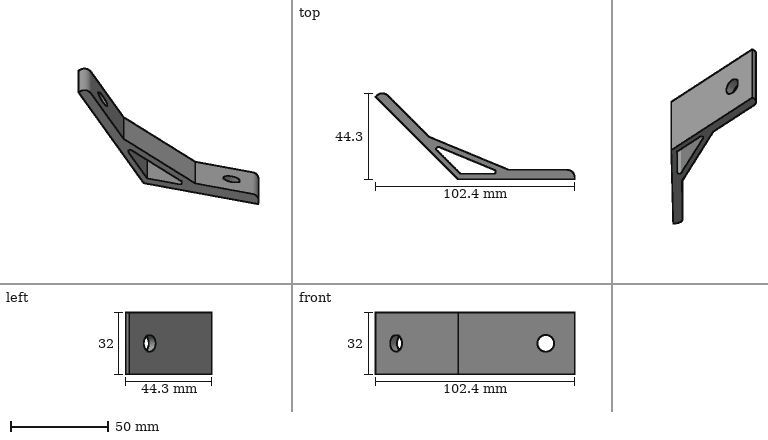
import cadquery as cq
import math

overall_length = 102.4
height = 32.0
bend_angle = 45.0
leg_thickness = 5.0
leg_tip_radius = 4.0
brace_reach = 26.0
wall = 3.0
pocket_reach = 19.2
pocket_end_radius = 0.5
hole_diameter = 8.5
hole_reach = 45.1

bend = math.radians(bend_angle)
leg_length = overall_length / (1 + math.cos(bend))
brace_slope = math.tan(bend / 2)


def straight_leg():
    """Leg along +X with its outer face on Y = 0 and a hole through it."""
    miter_x = leg_thickness * brace_slope
    outline = [(0, 0), (leg_length, 0), (leg_length, leg_thickness), (miter_x, leg_thickness)]
    leg = cq.Workplane("XY").polyline(outline).close().extrude(height)
    leg = leg.edges("|Z and >X and >Y").fillet(leg_tip_radius)
    hole = (
        cq.Workplane("XZ")
        .center(hole_reach, height / 2)
        .circle(hole_diameter / 2)
        .extrude(-leg_thickness)
    )
    return leg.cut(hole)


def on_other_leg(x, y):
    """Mirror a point of the straight leg onto the bent leg."""
    mirror_angle = math.pi - bend
    return (
        x * math.cos(mirror_angle) + y * math.sin(mirror_angle),
        x * math.sin(mirror_angle) - y * math.cos(mirror_angle),
    )


def symmetric_prism(leg_points):
    """Prism whose outline follows leg_points and returns along their mirror images.

    The first point lies on the bend plane, so its mirror image is left out.
    """
    mirrored_points = [on_other_leg(x, y) for x, y in reversed(leg_points[1:])]
    return cq.Workplane("XY").polyline(leg_points + mirrored_points).close().extrude(height)


def brace_block():
    """Solid web filling the inside of the bend."""
    bend_corner = (leg_thickness * brace_slope, leg_thickness)
    return symmetric_prism([bend_corner, (brace_reach, leg_thickness)])


def pocket():
    """Opening one wall inside the legs and the brace face, with square ends."""
    brace_wall_drop = wall / math.cos(bend / 2)
    end_top = leg_thickness - brace_wall_drop + (brace_reach - pocket_reach) * brace_slope
    bend_corner = (wall * brace_slope, wall)
    prism = symmetric_prism([bend_corner, (pocket_reach, wall), (pocket_reach, end_top)])

    end_faces = cq.selectors.ParallelDirSelector(cq.Vector(1, 0))
    other_end_faces = cq.selectors.ParallelDirSelector(cq.Vector(*on_other_leg(1, 0)))
    end_edges = prism.faces(end_faces + other_end_faces).edges("|Z")
    return end_edges.fillet(pocket_end_radius)


leg = straight_leg()
bent_leg = leg.mirror("YZ").rotate((0, 0, 0), (0, 0, 1), -bend_angle)
result = leg.union(bent_leg).union(brace_block()).cut(pocket()).clean()